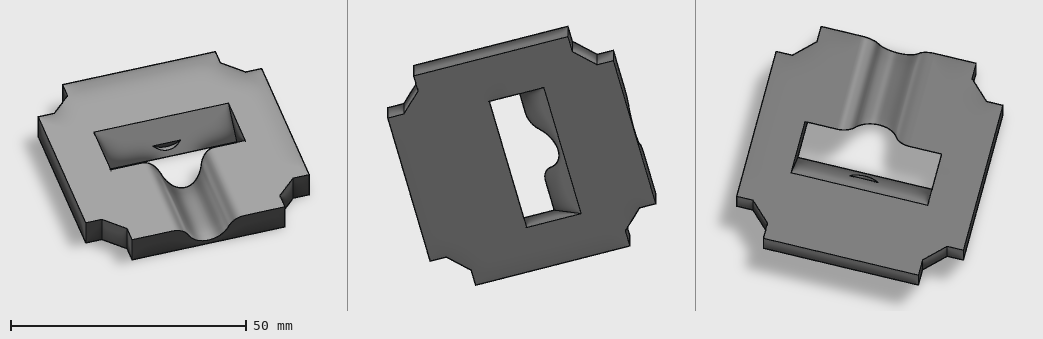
import cadquery as cq
import math

side = 49.8
thickness = 6.0
corner_step = 7.85
step_wall = 3.6

window_width = 12.0
window_length = 30.0
window_slant = 6.0

groove_radius = 5.0
shoulder_radius = 4.0
groove_start = -5.1

half_side = side / 2


def make_plate():
    """Square plate with a stepped diagonal notch at every corner."""
    inner = half_side - corner_step
    shoulder = half_side - step_wall
    corner = [(half_side, inner), (shoulder, inner), (inner, shoulder), (inner, half_side)]
    outline = []
    for quarter_turn in range(4):
        outline.extend(corner)
        corner = [(-y, x) for x, y in corner]
    return cq.Workplane("XY").polyline(outline).close().extrude(thickness)


def make_window():
    """Parallelogram in XZ, carried along Y."""
    left = -(window_width + window_slant) / 2
    right = left + window_width
    return (
        cq.Workplane("XZ")
        .moveTo(left, thickness)
        .lineTo(right, thickness)
        .lineTo(right + window_slant, 0)
        .lineTo(left + window_slant, 0)
        .close()
        .extrude(window_length / 2, both=True)
    )


def make_groove():
    """Concave arc blending tangentially into a convex shoulder on each side."""
    center_distance = groove_radius + shoulder_radius
    half_width = math.sqrt(center_distance**2 - shoulder_radius**2)
    joint_y = half_width * groove_radius / center_distance
    joint_z = thickness - shoulder_radius * groove_radius / center_distance

    shoulder_angle = math.acos(shoulder_radius / center_distance)
    middle_y = half_width - shoulder_radius * math.sin(shoulder_angle / 2)
    middle_z = thickness - shoulder_radius * (1 - math.cos(shoulder_angle / 2))

    return (
        cq.Workplane("YZ", origin=(groove_start, 0, 0))
        .moveTo(-half_width, thickness)
        .threePointArc((-middle_y, middle_z), (-joint_y, joint_z))
        .threePointArc((0, thickness - groove_radius), (joint_y, joint_z))
        .threePointArc((middle_y, middle_z), (half_width, thickness))
        .close()
        .extrude(half_side - groove_start)
    )


result = make_plate().cut(make_window()).cut(make_groove())